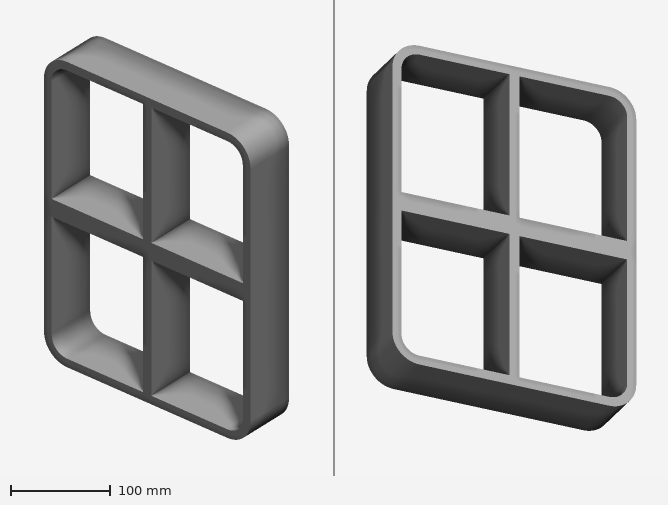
import cadquery as cq

width = 271.0
depth = 60.0
height = 359.0

wall = 10.0
outer_radius = 30.0
inner_radius = outer_radius - wall
upright_thickness = 11.0
shelf_thickness = 21.0


def block(size_x, size_z):
    """Block of full depth centred on the origin."""
    return cq.Workplane("XY").box(size_x, depth, size_z)


inner_width = width - 2 * wall
inner_height = height - 2 * wall
opening = block(inner_width, inner_height).edges("|Y").fillet(inner_radius)
frame = block(width, height).edges("|Y").fillet(outer_radius).cut(opening)

upright = block(upright_thickness, height - wall)
shelf = block(width - wall, shelf_thickness)

result = frame.union(upright).union(shelf).clean()